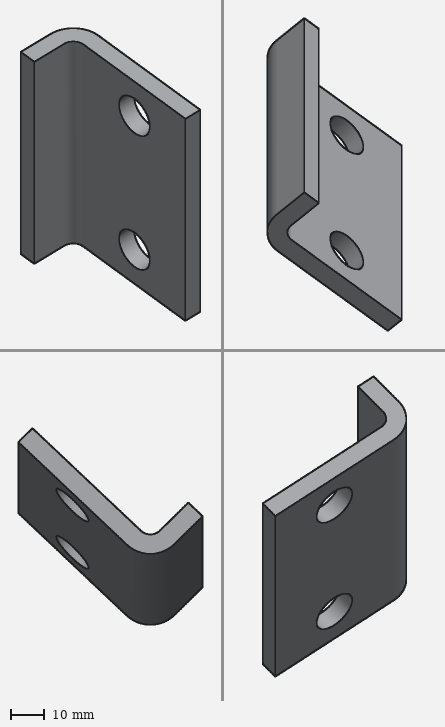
import cadquery as cq

width = 55.0
depth = 22.0
height = 80.0

thickness = 6.0
inner_radius = 4.0
outer_radius = inner_radius + thickness

hole_diameter = 13.5
hole_from_free_edge = 22.5
hole_from_end = 13.5


def bent_plate():
    """L-shaped profile with its outer corner at the left rear, extruded upward."""
    outline = (
        cq.Workplane("XY")
        .rect(width, depth, centered=False)
        .extrude(height)
    )
    inside_space = (
        cq.Workplane("XY")
        .moveTo(thickness, 0)
        .rect(width - thickness, depth - thickness, centered=False)
        .extrude(height)
    )
    plate = outline.cut(inside_space)
    outer_corner = cq.selectors.NearestToPointSelector((0, depth, height / 2))
    inner_corner = cq.selectors.NearestToPointSelector((thickness, depth - thickness, height / 2))
    plate = plate.edges("|Z").edges(outer_corner).fillet(outer_radius)
    return plate.edges("|Z").edges(inner_corner).fillet(inner_radius)


def mounting_holes():
    """Cylinders running through the wide leg along Y."""
    hole_x = width - hole_from_free_edge
    centers = [(hole_x, hole_from_end), (hole_x, height - hole_from_end)]
    return (
        cq.Workplane("XZ")
        .pushPoints(centers)
        .circle(hole_diameter / 2)
        .extrude(-depth)
    )


result = bent_plate().cut(mounting_holes())